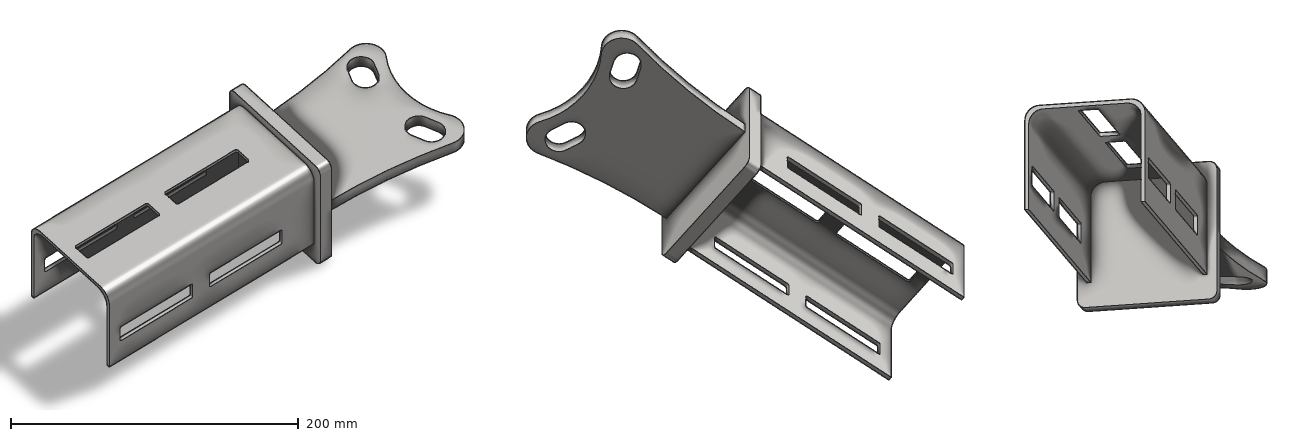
import cadquery as cq
import math

plate_side = 100.0
plate_thickness = 10.0
plate_corner_radius = 5.5

channel_width = 86.0
channel_height = 75.0
channel_length = 183.5
channel_wall = 2.8
channel_corner_radius = 10.5
channel_top = channel_width / 2

slot_length = 65.0
slot_width = 14.5
slot_gap = 15.0
slot_end_margin = 9.7
slot_corner_radius = 1.5
side_slot_z = -4.7

tongue_length = 120.5
tongue_thickness = 10.0
tongue_root_half_width = 45.0
tongue_half_width = 57.0
ear_radius = 14.0
saddle_depth = 13.0

bolt_hole_diameter = 19.5
bolt_hole_travel = 10.0
bolt_hole_x = 34.2
bolt_hole_tip_distance = 24.0
bolt_hole_angle = 22

tongue_root_y = plate_thickness
tongue_tip_y = tongue_root_y + tongue_length


def make_plate():
    return (
        cq.Workplane("XY")
        .box(plate_side, plate_thickness, plate_side)
        .edges("|Y")
        .fillet(plate_corner_radius)
        .translate((0, plate_thickness / 2, 0))
    )


def channel_block(width, height, top):
    """Block with rounded upper long edges, running from the plate toward -Y."""
    return (
        cq.Workplane("XY")
        .box(width, channel_length, height)
        .edges("|Y and >Z")
        .fillet(channel_corner_radius)
        .translate((0, -channel_length / 2, top - height / 2))
    )


def slot_cutter(y, size_x, size_z, long_edge_axis):
    return (
        cq.Workplane("XY")
        .box(size_x, slot_length, size_z)
        .edges(long_edge_axis)
        .fillet(slot_corner_radius)
        .translate((0, y, 0))
    )


def make_channel():
    outer = channel_block(channel_width, channel_height, channel_top)
    inner = channel_block(
        channel_width - 2 * channel_wall,
        channel_height - channel_wall,
        channel_top - channel_wall,
    )
    channel = outer.cut(inner)
    first_slot_y = -channel_length + slot_end_margin + slot_length / 2
    for index in range(2):
        y = first_slot_y + index * (slot_length + slot_gap)
        top_slot = slot_cutter(y, slot_width, 2 * channel_height, "|Z")
        side_slots = slot_cutter(y, 2 * channel_width, slot_width, "|X")
        channel = channel.cut(top_slot).cut(side_slots.translate((0, 0, side_slot_z)))
    return channel


def make_tongue():
    ear_x = tongue_half_width - ear_radius
    ear_y = tongue_tip_y - ear_radius
    saddle_y = tongue_tip_y - saddle_depth

    saddle_rise = ear_radius - saddle_depth
    saddle_radius = (ear_x**2 + saddle_rise**2 - ear_radius**2) / (2 * (ear_radius - saddle_rise))
    saddle_center_y = saddle_y + saddle_radius
    saddle_share = ear_radius / (saddle_radius + ear_radius)
    saddle_end_x = ear_x * (1 - saddle_share)
    saddle_end_y = ear_y + (saddle_center_y - ear_y) * saddle_share

    ear_rise = ear_y - tongue_root_y
    ear_inset = tongue_root_half_width - ear_x
    flank_radius = (ear_rise**2 + ear_inset**2 - ear_radius**2) / (2 * (ear_radius - ear_inset))
    flank_center_x = tongue_root_half_width + flank_radius
    flank_share = ear_radius / (flank_radius + ear_radius)
    flank_end_x = ear_x + (flank_center_x - ear_x) * flank_share
    flank_end_y = ear_y - ear_rise * flank_share
    half_flank_angle = math.asin(ear_rise / (flank_radius + ear_radius)) / 2
    flank_mid_x = flank_center_x - flank_radius * math.cos(half_flank_angle)
    flank_mid_y = tongue_root_y + flank_radius * math.sin(half_flank_angle)

    tongue = (
        cq.Workplane("XY")
        .moveTo(-tongue_root_half_width, tongue_root_y)
        .lineTo(tongue_root_half_width, tongue_root_y)
        .threePointArc((flank_mid_x, flank_mid_y), (flank_end_x, flank_end_y))
        .threePointArc((ear_x, tongue_tip_y), (saddle_end_x, saddle_end_y))
        .threePointArc((0, saddle_y), (-saddle_end_x, saddle_end_y))
        .threePointArc((-ear_x, tongue_tip_y), (-flank_end_x, flank_end_y))
        .threePointArc((-flank_mid_x, flank_mid_y), (-tongue_root_half_width, tongue_root_y))
        .close()
        .extrude(tongue_thickness / 2, both=True)
    )
    for side in (-1, 1):
        bolt_hole = (
            cq.Workplane("XY")
            .center(side * bolt_hole_x, tongue_tip_y - bolt_hole_tip_distance)
            .slot2D(bolt_hole_travel + bolt_hole_diameter, bolt_hole_diameter, side * bolt_hole_angle)
            .extrude(tongue_thickness, both=True)
        )
        tongue = tongue.cut(bolt_hole)
    return tongue


result = make_plate().union(make_channel()).union(make_tongue())